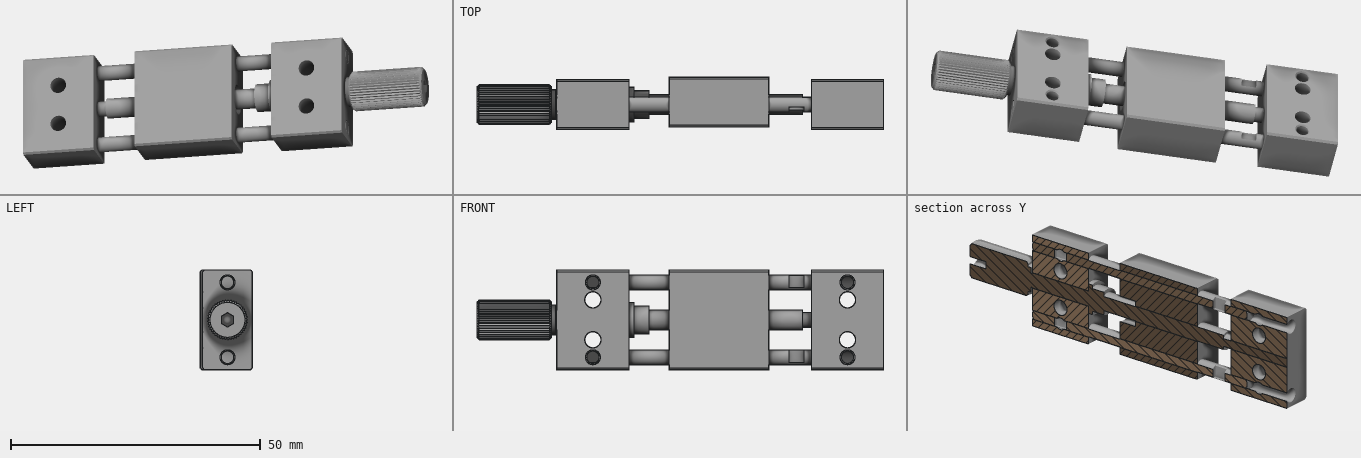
import cadquery as cq
import math

OVERALL_LENGTH = 81.5
OVERLAP = 1.0

BLOCK_LENGTH = 14.5
BLOCK_DEPTH = 10.0
BLOCK_HEIGHT = 20.0
EDGE_CHAMFER = 0.4
LEFT_BLOCK_START = 16.0
RIGHT_BLOCK_START = OVERALL_LENGTH - BLOCK_LENGTH
FIXING_X = BLOCK_LENGTH / 2

CARRIAGE_START = 38.5
CARRIAGE_LENGTH = 20.0
SLEEVE_RECESS_DIAMETER = 6.0
SLEEVE_RECESS_DEPTH = 4.0
CARRIAGE_OFFSET_Y = 0.5

MOUNT_HOLE_DIAMETER = 3.2
MOUNT_HOLE_Z = 4.0
TAPPED_HOLE_DIAMETER = 2.46
TAPPED_HOLE_MOUTH_DIAMETER = 3.0

ROD_DIAMETER = 3.0
ROD_Z = 7.5
ROD_LENGTH = 55.25
ROD_END_CHAMFER = 0.25
ROD_NOTCH_LENGTH = 3.0
ROD_NOTCH_DEPTH = 1.0
ROD_NOTCH_HEIGHT = 2.5

KNOB_DIAMETER = 8.0
KNOB_LENGTH = 15.0
KNOB_CHAMFER = 0.5
KNOB_SOCKET_ACROSS_FLATS = 2.5
KNOB_SOCKET_DEPTH = 4.0
GROOVE_COUNT = 45
GROOVE_PITCH = math.pi * KNOB_DIAMETER / GROOVE_COUNT
GROOVE_DEPTH = GROOVE_PITCH / 2
COLLAR_DIAMETER = 6.0
COLLAR_CLEARANCE = 0.2
FLANGE_DIAMETER = 7.0
FLANGE_LENGTH = 1.0
SLEEVE_DIAMETER = 5.6
SLEEVE_LENGTH = 3.0
SCREW_DIAMETER = 4.0
SCREW_END = 65.25
JOURNAL_DIAMETER = 3.0


def x_cylinder(diameter, start, end, z=0.0):
    """Solid cylinder along X between two X stations."""
    plane = cq.Workplane("YZ", origin=(start, 0, z))
    return plane.circle(diameter / 2).extrude(end - start)


def chamfered_block(start, length, offset_y):
    """Box centred on Z, with its four long X edges chamfered."""
    box = cq.Workplane("XY").box(length, BLOCK_DEPTH, BLOCK_HEIGHT)
    box = box.edges("|X").chamfer(EDGE_CHAMFER)
    return box.translate((start + length / 2, offset_y, 0))


def bored_through(body, diameter, start, length, z=0.0):
    """Cut a bore along X right through a block."""
    return body.cut(x_cylinder(diameter, start - OVERLAP, start + length + OVERLAP, z))


def tapped_hole_cutter(x, z):
    """Set screw hole from the front face to the rod bore, with a countersunk mouth."""
    radius = TAPPED_HOLE_DIAMETER / 2
    mouth_radius = TAPPED_HOLE_MOUTH_DIAMETER / 2
    depth = BLOCK_DEPTH / 2
    mouth_depth = mouth_radius - radius
    profile = [(0, 0), (mouth_radius, 0), (radius, mouth_depth), (radius, depth), (0, depth)]
    cutter = cq.Workplane("XY").polyline(profile).close().revolve(360, (0, 0), (0, 1))
    return cutter.translate((x, -BLOCK_DEPTH / 2, z))


def end_block(start, shaft_diameter):
    """End block with shaft bore, rod bores, mounting holes and set screw holes."""
    block = chamfered_block(start, BLOCK_LENGTH, 0)
    block = bored_through(block, shaft_diameter, start, BLOCK_LENGTH)
    hole_x = start + FIXING_X
    mount_points = [(hole_x, -MOUNT_HOLE_Z), (hole_x, MOUNT_HOLE_Z)]
    mount_holes = cq.Workplane("XZ").pushPoints(mount_points).circle(MOUNT_HOLE_DIAMETER / 2)
    block = block.cut(mount_holes.extrude(BLOCK_DEPTH, both=True))
    for side in (-1, 1):
        block = bored_through(block, ROD_DIAMETER, start, BLOCK_LENGTH, side * ROD_Z)
        block = block.cut(tapped_hole_cutter(hole_x, side * ROD_Z))
    return block


def carriage_block():
    """Sliding carriage, bored for the lead screw and both guide rods."""
    block = chamfered_block(CARRIAGE_START, CARRIAGE_LENGTH, CARRIAGE_OFFSET_Y)
    block = bored_through(block, SCREW_DIAMETER, CARRIAGE_START, CARRIAGE_LENGTH)
    recess_end = CARRIAGE_START + SLEEVE_RECESS_DEPTH
    block = block.cut(x_cylinder(SLEEVE_RECESS_DIAMETER, CARRIAGE_START, recess_end))
    for side in (-1, 1):
        block = bored_through(block, ROD_DIAMETER, CARRIAGE_START, CARRIAGE_LENGTH, side * ROD_Z)
    return block


def guide_rod(z):
    """Rod starting flush with the left block, with a front notch near each end for a set screw."""
    start = LEFT_BLOCK_START
    end = start + ROD_LENGTH
    rod = x_cylinder(ROD_DIAMETER, start, end, z).faces("<X or >X").chamfer(ROD_END_CHAMFER)
    radius = ROD_DIAMETER / 2
    for notch_x in (start + FIXING_X, end - FIXING_X):
        cutter = cq.Workplane("XY").box(ROD_NOTCH_LENGTH, ROD_NOTCH_DEPTH, ROD_NOTCH_HEIGHT)
        notch_y = ROD_NOTCH_DEPTH / 2 - radius
        notch_z = z + radius - ROD_NOTCH_HEIGHT / 2
        rod = rod.cut(cutter.translate((notch_x, notch_y, notch_z)))
    return rod


def knurled_knob():
    """Chamfered knob with straight V grooves and a blind hexagon socket in its outer face."""
    knob = x_cylinder(KNOB_DIAMETER, 0, KNOB_LENGTH).faces("<X or >X").chamfer(KNOB_CHAMFER)
    root = KNOB_DIAMETER / 2 - GROOVE_DEPTH
    mouth = KNOB_DIAMETER / 2 + GROOVE_DEPTH
    half_width = mouth - root
    profile = [(root, 0), (mouth, half_width), (mouth, -half_width)]
    groove = cq.Workplane("YZ").polyline(profile).close().extrude(KNOB_LENGTH).val()
    grooves = []
    for index in range(GROOVE_COUNT):
        angle = index * 360 / GROOVE_COUNT
        grooves.append(groove.rotate(cq.Vector(0, 0, 0), cq.Vector(1, 0, 0), angle))
    knob = knob.cut(cq.Workplane(cq.Compound.makeCompound(grooves)))
    corner_diameter = KNOB_SOCKET_ACROSS_FLATS / math.cos(math.pi / 6)
    hexagon = cq.Workplane("YZ").transformed(rotate=(0, 0, 90)).polygon(6, corner_diameter)
    return knob.cut(hexagon.extrude(KNOB_SOCKET_DEPTH))


def lead_screw():
    """Knob and stepped shaft in one piece, from the knob to the right-hand journal."""
    flange_start = LEFT_BLOCK_START + BLOCK_LENGTH
    flange_end = flange_start + FLANGE_LENGTH
    sleeve_end = flange_end + SLEEVE_LENGTH
    steps = [
        (COLLAR_DIAMETER, LEFT_BLOCK_START - COLLAR_CLEARANCE),
        (SCREW_DIAMETER, flange_start),
        (FLANGE_DIAMETER, flange_end),
        (SLEEVE_DIAMETER, sleeve_end),
        (SCREW_DIAMETER, SCREW_END),
        (JOURNAL_DIAMETER, OVERALL_LENGTH),
    ]
    screw = knurled_knob()
    start = KNOB_LENGTH
    for diameter, end in steps:
        screw = screw.union(x_cylinder(diameter, start, end))
        start = end
    return screw


left_block = end_block(LEFT_BLOCK_START, SCREW_DIAMETER)
right_block = end_block(RIGHT_BLOCK_START, JOURNAL_DIAMETER)
carriage = carriage_block()
rods = [guide_rod(side * ROD_Z) for side in (-1, 1)]
screw = lead_screw()

result = cq.Compound.makeCompound([
    left_block.val(),
    right_block.val(),
    carriage.val(),
    *[rod.val() for rod in rods],
    screw.val(),
])